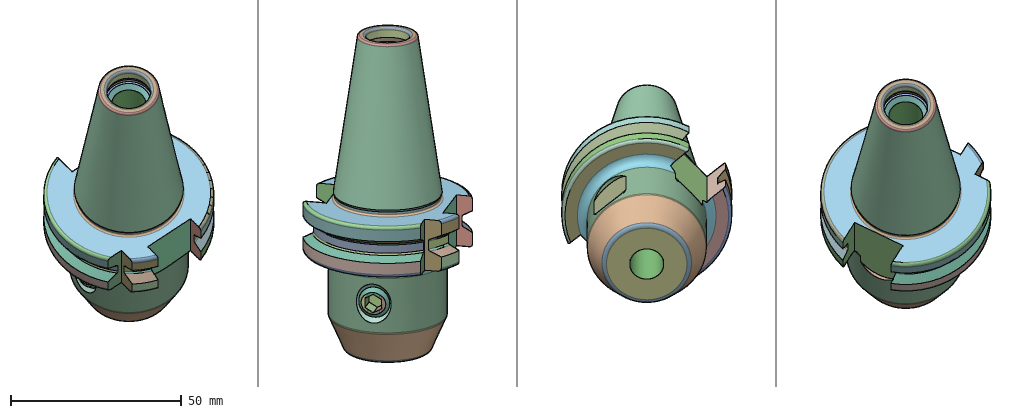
import cadquery as cq
import math

total_height = 97.8
gauge_z = 50.0
taper_end = 48.8
flange_top = 46.7
flange_bottom = 30.9
nose_cone_top = 10.9
flange_height = flange_top - flange_bottom

gauge_radius = 15.8
taper_slope = 7 / 48
taper_top_round = 0.6
neck_radius = 15.6
neck_chamfer = 0.7
neck_fillet = 0.6

flange_diameter = 50.0
flange_radius = flange_diameter / 2
flange_round = 1.0
groove_z = 38.8
groove_root_radius = 22.0
groove_root_half = 1.7
groove_blend = 0.4
groove_flank_angle = 30

body_radius = 17.5
body_fillet = 2.8
nose_cone_angle = 23.5
nose_round = 1.5
shoulder_blend = 0.3

bore_radius = 5.0
pilot_radius = 6.5
pilot_round = 0.8
pilot_depth = 3.1
relief_radius = 7.0
relief_start = 4.6
relief_end = 5.6
entry_radius = 6.4

slot_width = 16.1
slot_floor_left = 16.4
slot_floor_right = 18.8
notch_offset = 15.0

screw_z = 20.05
screw_radius = 4.7
screw_chamfer = 1.3
screw_mouth_radius = 6.1
hex_width = 5.0
hex_depth = 5.0
flat_radius = 7.5
flat_floor = 16.3


def turned_body():
    """Solid of revolution, outlined from the nose upwards as (radius, height)."""
    cone_angle = math.radians(nose_cone_angle)
    cone_sin = math.sin(cone_angle)
    cone_cos = math.cos(cone_angle)
    nose_round_top = nose_round * (1 - cone_sin)
    nose_radius = body_radius - (nose_cone_top - nose_round_top) * math.tan(cone_angle)
    nose_face_radius = nose_radius - nose_round * cone_cos

    flank_angle = math.radians(groove_flank_angle)
    groove_half = groove_root_half + (flange_radius - groove_root_radius) * math.tan(flank_angle)
    root_flat_half = groove_root_half - groove_blend
    flank_end_radius = groove_root_radius + groove_blend * math.cos(flank_angle)
    flank_end_half = groove_root_half + groove_blend * math.sin(flank_angle)

    def taper_radius(z):
        return gauge_radius - (z - gauge_z) * taper_slope

    taper_top = total_height - taper_top_round
    profile = (
        cq.Workplane("XZ")
        .lineTo(nose_face_radius, 0)
        .tangentArcPoint((nose_radius, nose_round_top), relative=False)
        .lineTo(body_radius - shoulder_blend * cone_sin, nose_cone_top - shoulder_blend * cone_cos)
        .tangentArcPoint((body_radius, nose_cone_top + shoulder_blend), relative=False)
        .lineTo(body_radius, flange_bottom - body_fillet)
        .tangentArcPoint((body_fillet, body_fillet))
        .lineTo(flange_radius - flange_round, flange_bottom)
        .tangentArcPoint((flange_round, flange_round))
        .lineTo(flange_radius, groove_z - groove_half)
        .lineTo(flank_end_radius, groove_z - flank_end_half)
        .tangentArcPoint((groove_root_radius, groove_z - root_flat_half), relative=False)
        .lineTo(groove_root_radius, groove_z + root_flat_half)
        .tangentArcPoint((flank_end_radius, groove_z + flank_end_half), relative=False)
        .lineTo(flange_radius, groove_z + groove_half)
        .lineTo(flange_radius, flange_top - flange_round)
        .tangentArcPoint((-flange_round, flange_round))
        .lineTo(neck_radius + neck_fillet, flange_top)
        .tangentArcPoint((-neck_fillet, neck_fillet))
        .lineTo(neck_radius, taper_end - neck_chamfer)
        .lineTo(taper_radius(taper_end), taper_end)
        .lineTo(taper_radius(taper_top), taper_top)
        .tangentArcPoint((taper_radius(taper_top) - taper_top_round, total_height), relative=False)
        .lineTo(0, total_height)
        .close()
    )
    return profile.revolve(360, (0, 0, 0), (0, 1, 0))


def axial_bore():
    """Through bore with lead-in, relief groove and rounded pilot at the taper end."""
    profile = (
        cq.Workplane("XZ")
        .lineTo(bore_radius, 0)
        .lineTo(bore_radius, total_height - relief_end - (entry_radius - bore_radius))
        .lineTo(entry_radius, total_height - relief_end)
        .lineTo(relief_radius, total_height - relief_end)
        .lineTo(relief_radius, total_height - relief_start)
        .lineTo(pilot_radius, total_height - pilot_depth)
        .lineTo(pilot_radius, total_height - pilot_round)
        .tangentArcPoint((pilot_round, pilot_round))
        .lineTo(0, total_height)
        .close()
    )
    return profile.revolve(360, (0, 0, 0), (0, 1, 0))


def drive_slot(side, floor):
    """Slot with a round lower end, open to the +X (side=1) or -X (side=-1) face."""
    depth = side * flange_radius
    plane = cq.Workplane("YZ", origin=(side * floor, 0, flange_bottom))
    straight = plane.center(0, flange_height / 2).rect(slot_width, flange_height).extrude(depth)
    rounded = plane.circle(slot_width / 2).extrude(depth)
    return straight.union(rounded)


def flange_notch():
    corner = cq.Workplane("XY", origin=(notch_offset, -notch_offset, flange_bottom))
    return corner.rect(flange_radius, -flange_radius, centered=False).extrude(flange_height)


def round_flat():
    plane = cq.Workplane("XZ", origin=(0, flat_floor, screw_z))
    return plane.circle(flat_radius).extrude(-body_radius)


def screw_recess():
    """V-shaped ring between countersink and chamfered screw head, plus the hex socket."""
    sink_depth = screw_mouth_radius - screw_radius
    sink_floor = body_radius - sink_depth
    screw_face = sink_floor + screw_chamfer
    base = cq.Vector(0, -sink_floor, screw_z)
    outward = cq.Vector(0, -1, 0)
    sink = cq.Solid.makeCone(screw_radius, screw_mouth_radius, sink_depth, base, outward)
    head = cq.Solid.makeCone(screw_radius, screw_radius - screw_chamfer, screw_chamfer, base, outward)
    across_corners = hex_width / math.cos(math.pi / 6)
    socket = (
        cq.Workplane("XZ", origin=(0, -screw_face, screw_z))
        .transformed(rotate=(0, 0, 90))
        .polygon(6, across_corners)
        .extrude(-hex_depth)
    )
    return cq.Workplane(sink).cut(cq.Workplane(head)).union(socket)


result = (
    turned_body()
    .cut(axial_bore())
    .cut(drive_slot(-1, slot_floor_left))
    .cut(drive_slot(1, slot_floor_right))
    .cut(flange_notch())
    .cut(round_flat())
    .cut(screw_recess())
)